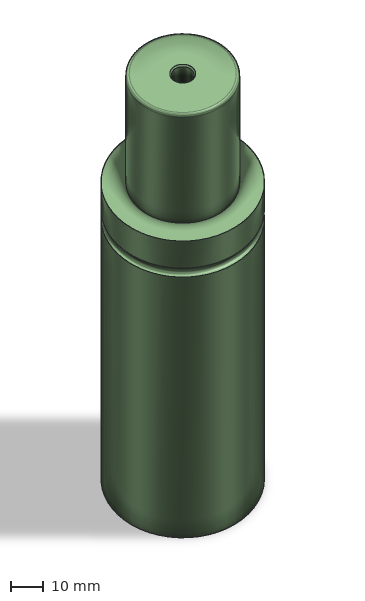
import cadquery as cq
import math

total_height = 180.0
body_radius = 25.0
rod_radius = 17.5
rod_length = 48.0
rod_fillet = 1.0

collar_height = 12.0
groove_radius = 2.0

hole_radius = 3.5
hole_chamfer = 0.5
hole_depth = 21.6
drill_point_angle = 118.0

shoulder_z = total_height - rod_length
groove_top_z = shoulder_z - collar_height
groove_middle_z = groove_top_z - groove_radius
groove_bottom_z = groove_top_z - 2 * groove_radius


def make_cylinder_and_rod():
    """Revolve the half profile of the body, groove, collar and rod."""
    profile = (
        cq.Workplane("XZ")
        .lineTo(body_radius, 0)
        .lineTo(body_radius, groove_bottom_z)
        .threePointArc(
            (body_radius - groove_radius, groove_middle_z),
            (body_radius, groove_top_z),
        )
        .lineTo(body_radius, shoulder_z)
        .lineTo(rod_radius, shoulder_z)
        .lineTo(rod_radius, total_height - rod_fillet)
        .radiusArc((rod_radius - rod_fillet, total_height), -rod_fillet)
        .lineTo(0, total_height)
        .close()
    )
    return profile.revolve(360, (0, 0, 0), (0, 1, 0))


def make_drilled_hole():
    """Revolve the hole with its chamfered mouth and conical drill point."""
    point_depth = hole_radius / math.tan(math.radians(drill_point_angle / 2))
    floor_z = total_height - hole_depth
    profile = (
        cq.Workplane("XZ")
        .moveTo(0, total_height)
        .lineTo(hole_radius + hole_chamfer, total_height)
        .lineTo(hole_radius, total_height - hole_chamfer)
        .lineTo(hole_radius, floor_z)
        .lineTo(0, floor_z - point_depth)
        .close()
    )
    return profile.revolve(360, (0, 0, 0), (0, 1, 0))


result = make_cylinder_and_rod().cut(make_drilled_hole())